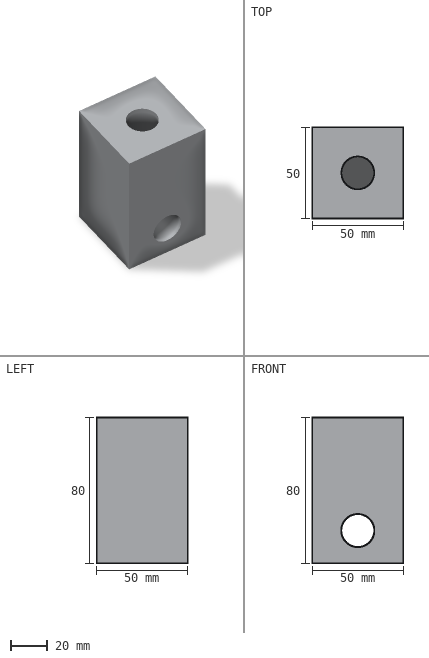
import cadquery as cq

block_width = 50.0
block_depth = 50.0
block_height = 80.0

hole_diameter = 18.0
cross_hole_height = 18.0
top_hole_depth = block_height / 2


def make_block():
    return cq.Workplane("XY").box(
        block_width, block_depth, block_height, centered=(True, True, False)
    )


def make_cross_hole():
    """Cylinder along Y that passes through the whole block."""
    return (
        cq.Workplane("XZ")
        .center(0, cross_hole_height)
        .circle(hole_diameter / 2)
        .extrude(block_depth / 2, both=True)
    )


def make_top_hole():
    """Flat-bottomed blind hole going down from the centre of the top face."""
    return (
        cq.Workplane("XY")
        .workplane(offset=block_height)
        .circle(hole_diameter / 2)
        .extrude(-top_hole_depth)
    )


result = make_block().cut(make_cross_hole()).cut(make_top_hole())